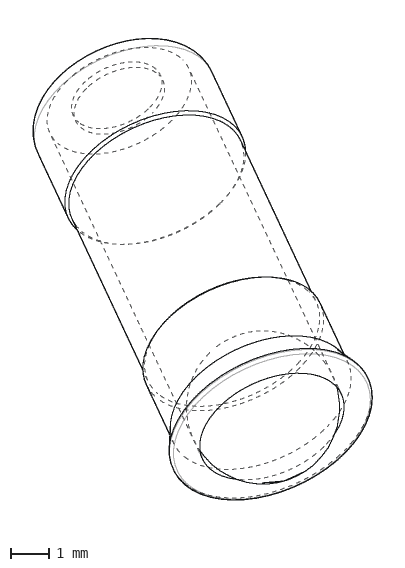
import cadquery as cq


OVERALL_LENGTH = 13.3
SLEEVE_LENGTH = 12.0
RELIEF_START = 2.98
RELIEF_END = 9.0
FLARE_START = 11.13
RIM_WIDTH = 0.12
END_WALL = 0.2

BODY_DIAMETER = 5.0
RIM_DIAMETER = 5.6
BALL_DIAMETER = 3.99
END_HOLE_DIAMETER = 2.5

RELIEF_DEPTH = 0.08
END_ROUND = 0.63
RIM_ROUND = 0.08

BODY_RADIUS = BODY_DIAMETER / 2
RELIEF_RADIUS = BODY_RADIUS - RELIEF_DEPTH
RIM_RADIUS = RIM_DIAMETER / 2
BALL_RADIUS = BALL_DIAMETER / 2
END_HOLE_RADIUS = END_HOLE_DIAMETER / 2


def sleeve_blank():
    """Solid of revolution with a rounded end, a shallow relief and a flared, rounded rim."""
    profile = (
        cq.Workplane("XY")
        .moveTo(0, 0)
        .lineTo(0, BODY_RADIUS - END_ROUND)
        .radiusArc((END_ROUND, BODY_RADIUS), END_ROUND)
        .lineTo(RELIEF_START, BODY_RADIUS)
        .lineTo(RELIEF_START + RELIEF_DEPTH, RELIEF_RADIUS)
        .lineTo(RELIEF_END - RELIEF_DEPTH, RELIEF_RADIUS)
        .lineTo(RELIEF_END, BODY_RADIUS)
        .lineTo(FLARE_START, BODY_RADIUS)
        .lineTo(SLEEVE_LENGTH - RIM_WIDTH, RIM_RADIUS)
        .lineTo(SLEEVE_LENGTH - RIM_ROUND, RIM_RADIUS)
        .radiusArc((SLEEVE_LENGTH, RIM_RADIUS - RIM_ROUND), RIM_ROUND)
        .lineTo(SLEEVE_LENGTH, 0)
        .close()
    )
    return profile.revolve(360, (0, 0, 0), (1, 0, 0))


def bore():
    """Bore that fits the ball, open at the rim and stopping at the end wall."""
    return (
        cq.Workplane("YZ", origin=(END_WALL, 0, 0))
        .circle(BALL_RADIUS)
        .extrude(SLEEVE_LENGTH - END_WALL)
    )


def end_hole():
    """Smaller hole through the end wall into the bore."""
    return cq.Workplane("YZ").circle(END_HOLE_RADIUS).extrude(END_WALL)


def make_sleeve():
    return sleeve_blank().cut(bore()).cut(end_hole())


def make_ball():
    """Ball in the mouth of the bore, its tip at the full length of the part."""
    ball_center = (OVERALL_LENGTH - BALL_RADIUS, 0, 0)
    return cq.Workplane("XY").sphere(BALL_RADIUS).translate(ball_center)


sleeve = make_sleeve()
ball = make_ball()

result = cq.Compound.makeCompound([sleeve.val(), ball.val()])